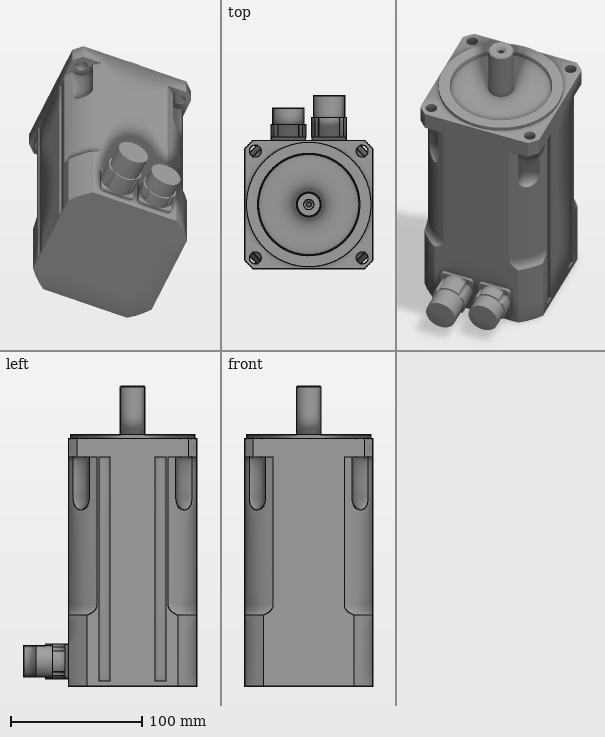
import cadquery as cq
import math

body_side = 98.0
body_height = 175.0
lower_corner_radius = 60.0
upper_corner_radius = 56.0
step_bottom_z = 54.3
step_top_z = 62.0

flange_thickness = 14.0
flange_corner_chamfer = 6.5
pilot_diameter = 95.0
pilot_height = 3.0
recess_diameter = 78.2
recess_depth = 3.0
recess_floor_diameter = 76.5

bolt_circle_diameter = 115.0
bolt_hole_diameter = 9.0
screw_pocket_diameter = 18.0
screw_pocket_end_z = 143.5

groove_inner_edge = 17.3
groove_width = 8.3
groove_depth = 2.0
groove_bottom_z = 4.0

shaft_diameter = 19.0
total_height = 229.0
shaft_edge_chamfer = 0.8
centre_hole_mouth_diameter = 7.8
centre_hole_diameter = 4.0
centre_hole_cone_depth = 2.0
centre_hole_depth = 6.0

connector_spacing = 31.0
connector_z = 19.0
plug_diameter = 24.0
collar_diameter = 26.9
connector_base_side = 26.4
connector_base_corner_radius = 3.0
connector_base_thickness = 2.5
notch_diameter = 5.0
notch_circle_diameter = 29.2
notch_count = 4
long_collar_end_y = 66.5
long_plug_end_y = 83.0
short_collar_end_y = 61.0
short_plug_end_y = 73.5

half_side = body_side / 2
flange_top_z = body_height + flange_thickness
pilot_top_z = flange_top_z + pilot_height
recess_floor_z = pilot_top_z - recess_depth
corner_angles = [45 + 90 * quarter for quarter in range(4)]


def disc(diameter, bottom_z, top_z):
    """Upright cylinder on the motor axis."""
    return cq.Workplane("XY").workplane(offset=bottom_z).circle(diameter / 2).extrude(top_z - bottom_z)


def turned_corners():
    """Solid of revolution that trims the body corners, with a concave step between the two radii."""
    step_width = lower_corner_radius - upper_corner_radius
    step_height = step_top_z - step_bottom_z
    arc_radius = (step_width**2 + step_height**2) / (2 * step_width)
    arc_centre_r = upper_corner_radius + arc_radius
    half_sweep = math.asin(step_height / arc_radius) / 2
    arc_middle = (
        arc_centre_r - arc_radius * math.cos(half_sweep),
        step_top_z - arc_radius * math.sin(half_sweep),
    )
    return (
        cq.Workplane("XZ")
        .moveTo(0, 0)
        .lineTo(lower_corner_radius, 0)
        .lineTo(lower_corner_radius, step_bottom_z)
        .threePointArc(arc_middle, (upper_corner_radius, step_top_z))
        .lineTo(upper_corner_radius, body_height)
        .lineTo(0, body_height)
        .close()
        .revolve(360, (0, 0, 0), (0, 1, 0))
    )


def screw_pocket(angle):
    """Round-ended pocket in a body corner, below a mounting hole."""
    radius = screw_pocket_diameter / 2
    length = body_height - screw_pocket_end_z
    pocket = cq.Workplane("XY").circle(radius).extrude(length).union(cq.Workplane("XY").sphere(radius))
    return pocket.translate((bolt_circle_diameter / 2, 0, screw_pocket_end_z)).rotate(
        (0, 0, 0), (0, 0, 1), angle
    )


def side_groove(x_side, y_side):
    """Shallow groove along the body, on the side facing X."""
    height = body_height - groove_bottom_z
    return (
        cq.Workplane("XY")
        .box(2 * groove_depth, groove_width, height)
        .translate(
            (
                x_side * half_side,
                y_side * (groove_inner_edge + groove_width / 2),
                groove_bottom_z + height / 2,
            )
        )
    )


def centre_hole():
    """Countersunk centre hole in the end of the shaft."""
    return (
        cq.Workplane("XZ")
        .moveTo(0, total_height)
        .lineTo(centre_hole_mouth_diameter / 2, total_height)
        .lineTo(centre_hole_diameter / 2, total_height - centre_hole_cone_depth)
        .lineTo(centre_hole_diameter / 2, total_height - centre_hole_depth)
        .lineTo(0, total_height - centre_hole_depth)
        .close()
        .revolve(360, (0, 0, 0), (0, 1, 0))
    )


def make_motor():
    """Housing with its flange and shaft."""
    motor = cq.Workplane("XY").rect(body_side, body_side).extrude(body_height).intersect(turned_corners())
    for angle in corner_angles:
        motor = motor.cut(screw_pocket(angle))
    for x_side in (-1, 1):
        for y_side in (-1, 1):
            motor = motor.cut(side_groove(x_side, y_side))

    flange = (
        cq.Workplane("XY")
        .workplane(offset=body_height)
        .rect(body_side, body_side)
        .extrude(flange_thickness)
        .edges("|Z")
        .chamfer(flange_corner_chamfer)
    )
    pilot = disc(pilot_diameter, flange_top_z, pilot_top_z)
    recess = (
        cq.Workplane("XY")
        .workplane(offset=recess_floor_z)
        .circle(recess_floor_diameter / 2)
        .workplane(offset=recess_depth)
        .circle(recess_diameter / 2)
        .loft()
    )
    bolt_holes = (
        cq.Workplane("XY")
        .workplane(offset=body_height)
        .polarArray(bolt_circle_diameter / 2, corner_angles[0], 360, len(corner_angles))
        .circle(bolt_hole_diameter / 2)
        .extrude(flange_thickness)
    )
    shaft = disc(shaft_diameter, recess_floor_z, total_height).faces(">Z").chamfer(shaft_edge_chamfer)
    shaft = shaft.cut(centre_hole())
    head = flange.union(pilot).cut(recess).cut(bolt_holes)
    return motor.union(head).union(shaft)


def make_connector(x, collar_end_y, plug_end_y):
    """Round connector with a notched collar on a square base, pointing along +Y."""
    collar_start_y = half_side + connector_base_thickness

    def section(start_y):
        return cq.Workplane("XZ", origin=(x, start_y, connector_z))

    base = (
        section(half_side)
        .rect(connector_base_side, connector_base_side)
        .extrude(-connector_base_thickness)
        .edges("|Y")
        .fillet(connector_base_corner_radius)
    )
    collar_length = collar_end_y - collar_start_y
    plug_length = plug_end_y - collar_start_y
    collar = section(collar_start_y).circle(collar_diameter / 2).extrude(-collar_length)
    notches = (
        section(collar_start_y)
        .polarArray(notch_circle_diameter / 2, corner_angles[0], 360, notch_count)
        .circle(notch_diameter / 2)
        .extrude(-collar_length)
    )
    plug = section(collar_start_y).circle(plug_diameter / 2).extrude(-plug_length)
    return base.union(collar.cut(notches)).union(plug)


motor = make_motor()
short_connector = make_connector(-connector_spacing / 2, short_collar_end_y, short_plug_end_y)
long_connector = make_connector(connector_spacing / 2, long_collar_end_y, long_plug_end_y)

result = cq.Compound.makeCompound([motor.val(), short_connector.val(), long_connector.val()])